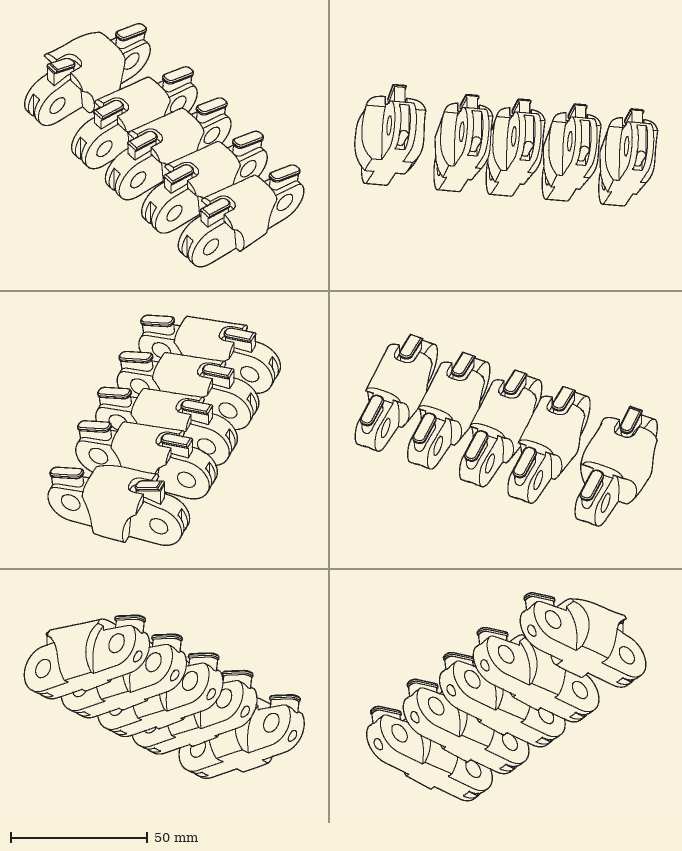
import cadquery as cq
import math


PLATE_WIDTH = 8.1
LUG_RADIUS = 9.0
AXIS_Z = LUG_RADIUS
HINGE_PITCH = 34.7
FRONT_PIN_RADIUS = 3.5
REAR_PIN_RADIUS = 3.7
REAR_TILT = 7.7
REAR_FLAT_HEIGHT = 6.2
REAR_LUG_FILLET = 3.3

SHELL_FRONT_Y = 6.1
SHELL_REAR_Y = 28.5
FRONT_END_CURVE = [(SHELL_FRONT_Y, 18.6), (10.0, 13.8), (11.2, 8.1), (11.8, 0)]
REAR_END_CURVE = [(SHELL_REAR_Y, 17.8), (25.0, 13.4), (23.5, 7.2), (23.9, 0)]
POCKET_END_Y = 13.0
POCKET_CORNER_RADIUS = 3.1

TENDON_RADIUS = 1.7
TENDON_Z = 3.2
SLOT_WIDTH = 3.5
SLOT_DEPTH = 2.3

STEM_WIDTH = 4.0
STEM_CORNER_RADIUS = 1.7
CAP_OVERHANG = 0.5
CAP_WIDTH = STEM_WIDTH + 2 * CAP_OVERHANG
CAP_CORNER_RADIUS = STEM_CORNER_RADIUS + CAP_OVERHANG
CAP_THICKNESS = 1.7
CAP_CHAMFER = CAP_OVERHANG
FRONT_STEM_Y = 0.1
REAR_STEM_LENGTH = 12.1
REAR_STEM_HEIGHT = 10.0
REAR_STEM_OFFSET = 1.9
REAR_CAP_TILT = 14.5
REAR_CAP_OFFSET = 1.7
REAR_CAP_HEIGHT = 9.7

CUT_SIZE = 66.6

SMALL_SECTIONS = [
    (SHELL_FRONT_Y, 9.8, 22.7),
    (SHELL_REAR_Y, 7.8, 21.0),
]
LARGE_SECTIONS = [
    (SHELL_FRONT_Y, 12.2, 22.7),
    (17.3, 11.8, 22.1),
    (25.0, 10.9, 21.4),
    (SHELL_REAR_Y, 9.1, 21.0),
]

WIDEST_Z = 12.8
BASE_SHARE = 0.66
HIP_SHARE = 0.89
HIP_Z = 3.3
SHOULDER_SHARE = 0.8
SHOULDER_DROP = 1.5

SMALL_FRONT = {
    "floor_z": 2 * LUG_RADIUS,
    "cap_length": 11.2,
    "cap_z": 22.6,
    "cap_tilt": 5.0,
    "nose": [(0.9, 24.3), (FRONT_STEM_Y, 23.4)],
}
LARGE_FRONT = {
    "floor_z": 19.3,
    "cap_length": 10.7,
    "cap_z": 24.5,
    "cap_tilt": 18.0,
    "nose": [(2.0, 25.7), (1.1, 25.7), (0.3, 25.2), (FRONT_STEM_Y, 24.5)],
}

LARGE_LINK_X = -43.3
SMALL_LINK_XS = [-16.0, 3.7, 24.7, 46.0]


def side_profile():
    """Sketch plane for side outlines: local x is Y, local y is Z, extruded along X."""
    return cq.Workplane("YZ")


def shell_section(y, half_width, crown_z):
    base = BASE_SHARE * half_width
    right = [
        (HIP_SHARE * half_width, HIP_Z),
        (half_width, WIDEST_Z),
        (SHOULDER_SHARE * half_width, crown_z - SHOULDER_DROP),
    ]
    left = [(-x, z) for x, z in reversed(right)]
    outline = (
        cq.Workplane("XZ", origin=(0, y, 0))
        .moveTo(-base, 0)
        .lineTo(base, 0)
        .spline([*right, (0, crown_z), *left, (-base, 0)], includeCurrent=True)
        .close()
    )
    return outline.val()


def clearance(curve, outer_y):
    """Space beside the plate, between a curved shell end and outer_y, for the neighbouring links."""
    space = (
        side_profile()
        .moveTo(*curve[0])
        .spline(curve[1:], includeCurrent=True)
        .lineTo(outer_y, curve[-1][1])
        .lineTo(outer_y, curve[0][1])
        .close()
        .extrude(CUT_SIZE / 2, both=True)
    )
    plate_space = cq.Workplane("XY").box(PLATE_WIDTH, 2 * CUT_SIZE, CUT_SIZE)
    return space.cut(plate_space)


def pocket(floor_z):
    length = POCKET_END_Y
    block = cq.Workplane("XY", origin=(0, length / 2, floor_z)).rect(PLATE_WIDTH, length).extrude(CUT_SIZE)
    return block.edges("|Z and >Y").fillet(POCKET_CORNER_RADIUS)


def shell(sections, floor_z):
    wires = [shell_section(*section) for section in sections]
    straight_sides = len(wires) == 2
    body = cq.Workplane(cq.Solid.makeLoft(wires, straight_sides))
    body = body.cut(clearance(FRONT_END_CURVE, -LUG_RADIUS))
    body = body.cut(clearance(REAR_END_CURVE, HINGE_PITCH + LUG_RADIUS))
    return body.cut(pocket(floor_z))


def along_rear_flat(along, above):
    """Y and Z of a point given along and square to the rear lug's flat, from the rear hinge axis."""
    tilt = math.radians(REAR_TILT)
    y = HINGE_PITCH + along * math.cos(tilt) + above * math.sin(tilt)
    z = AXIS_Z - along * math.sin(tilt) + above * math.cos(tilt)
    return y, z


def plate(floor_z):
    flat_end = math.sqrt(LUG_RADIUS**2 - REAR_FLAT_HEIGHT**2)
    body = (
        side_profile()
        .lineTo(HINGE_PITCH, 0)
        .threePointArc((HINGE_PITCH + LUG_RADIUS, AXIS_Z), along_rear_flat(flat_end, REAR_FLAT_HEIGHT))
        .lineTo(*along_rear_flat((POCKET_END_Y - HINGE_PITCH) / 2, REAR_FLAT_HEIGHT))
        .lineTo(POCKET_END_Y, floor_z)
        .lineTo(SHELL_FRONT_Y, floor_z)
        .lineTo(0, 2 * LUG_RADIUS)
        .threePointArc((-LUG_RADIUS, AXIS_Z), (0, 0))
        .close()
        .extrude(PLATE_WIDTH / 2, both=True)
    )
    lug_corner = cq.selectors.NearestToPointSelector((0, *along_rear_flat(flat_end, REAR_FLAT_HEIGHT)))
    return body.edges("|X").edges(lug_corner).fillet(REAR_LUG_FILLET)


def above_nose(nose):
    """Space over the nose, open toward the front and upward."""
    front_y, front_z = nose[-1]
    outer_y = front_y - CUT_SIZE
    corners = [(outer_y, front_z), (outer_y, CUT_SIZE), (nose[0][0], CUT_SIZE)]
    return side_profile().polyline([*nose, *corners]).close().extrude(CUT_SIZE, both=True)


def front_key(cap_length, cap_z, cap_tilt, nose):
    """Key with a square front end and a rounded rear end; cap_z is the cap's underside at the front."""
    cap = cq.Workplane("XY").center(0, cap_length / 2).rect(CAP_WIDTH, cap_length).extrude(CAP_THICKNESS)
    cap = cap.edges("|Z and >Y").fillet(CAP_CORNER_RADIUS)
    cap = cap.faces("<Z").edges("not(<Y)").chamfer(CAP_CHAMFER)
    cap = cap.faces(">Z").edges("not(<Y)").chamfer(CAP_CHAMFER)

    stem_length = cap_length - CAP_OVERHANG
    stem_height = cap_z - AXIS_Z
    stem = cq.Workplane("XY").center(0, stem_length / 2).rect(STEM_WIDTH, stem_length).extrude(stem_height)
    stem = stem.edges("|Z and >Y").fillet(STEM_CORNER_RADIUS)
    slope_cut = cq.Workplane("XY").box(CUT_SIZE, CUT_SIZE, CUT_SIZE, centered=(True, True, False))

    def tilt(body):
        return body.rotate((0, 0, 0), (1, 0, 0), -cap_tilt).translate((0, 0, stem_height))

    key = stem.cut(tilt(slope_cut)).union(tilt(cap))
    return key.translate((0, FRONT_STEM_Y, AXIS_Z)).cut(above_nose(nose))


def rear_key():
    """Key with rounded ends, its stem square to the rear lug's flat and its cap tilted further."""
    stem = cq.Workplane("XY").rect(STEM_WIDTH, REAR_STEM_LENGTH).extrude(REAR_STEM_HEIGHT + CAP_THICKNESS)
    stem = stem.edges("|Z").fillet(STEM_CORNER_RADIUS)
    stem = stem.rotate((0, 0, 0), (1, 0, 0), -REAR_TILT)
    stem = stem.translate((0, *along_rear_flat(REAR_STEM_OFFSET, 0)))

    cap = cq.Workplane("XY").rect(CAP_WIDTH, REAR_STEM_LENGTH + 2 * CAP_OVERHANG).extrude(CAP_THICKNESS)
    cap = cap.edges("|Z").fillet(CAP_CORNER_RADIUS)
    cap = cap.faces("<Z or >Z").edges().chamfer(CAP_CHAMFER)
    above_cap = cq.Workplane("XY").box(CUT_SIZE, CUT_SIZE, CUT_SIZE, centered=(True, True, False))

    def place(body):
        tilted = body.rotate((0, 0, 0), (1, 0, 0), -REAR_CAP_TILT)
        return tilted.translate((0, *along_rear_flat(REAR_CAP_OFFSET, REAR_CAP_HEIGHT)))

    return stem.cut(place(above_cap)).union(place(cap))


def pin_hole(hinge_y, radius):
    return side_profile().center(hinge_y, AXIS_Z).circle(radius).extrude(PLATE_WIDTH, both=True)


def tendon_passage():
    """Lengthwise hole, the upright slot in the front lug and the channel under the front lug."""
    hole = cq.Workplane("XZ").center(0, TENDON_Z).circle(TENDON_RADIUS).extrude(CUT_SIZE, both=True)
    slot_center_y = SLOT_DEPTH / 2 - LUG_RADIUS
    slot = cq.Workplane("XY").center(0, slot_center_y).rect(SLOT_WIDTH, SLOT_DEPTH).extrude(2 * LUG_RADIUS)
    channel = cq.Workplane("XY").center(0, -LUG_RADIUS / 2).rect(SLOT_WIDTH, LUG_RADIUS).extrude(TENDON_Z)
    return hole.union(slot).union(channel)


def link(sections, floor_z, **front_cap):
    body = shell(sections, floor_z).union(plate(floor_z))
    body = body.union(front_key(**front_cap)).union(rear_key())
    body = body.cut(pin_hole(0, FRONT_PIN_RADIUS)).cut(pin_hole(HINGE_PITCH, REAR_PIN_RADIUS))
    return body.cut(tendon_passage())


large_link = link(LARGE_SECTIONS, **LARGE_FRONT).translate((LARGE_LINK_X, 0, 0))
small_link = link(SMALL_SECTIONS, **SMALL_FRONT)
small_links = [small_link.translate((x, 0, 0)) for x in SMALL_LINK_XS]

result = cq.Compound.makeCompound([large_link.val(), *[placed.val() for placed in small_links]])